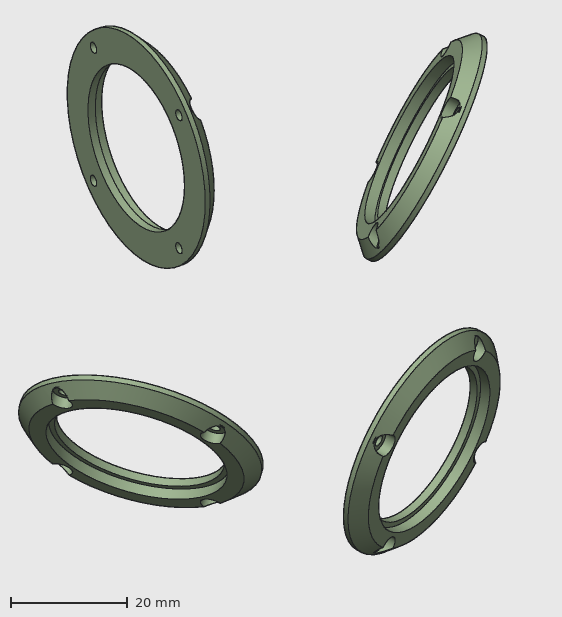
import cadquery as cq

outer_diameter = 43.0
thickness = 3.5
rim_thickness = 1.0
bevel_width = 2.5

bore_diameter = 30.0
recess_diameter = 32.0
floor_thickness = 1.5

screw_spacing = 26.57
screw_hole_diameter = 1.98
counterbore_diameter = 4.0

front_y = -thickness / 2
back_y = front_y + thickness
outer_radius = outer_diameter / 2
bore_radius = bore_diameter / 2
recess_radius = recess_diameter / 2


def ring_body():
    """Bevelled ring with a stepped bore, revolved about the Y axis."""
    profile = (
        cq.Workplane("XY")
        .moveTo(bore_radius, front_y)
        .lineTo(outer_radius, front_y)
        .lineTo(outer_radius, front_y + rim_thickness)
        .lineTo(outer_radius - bevel_width, back_y)
        .lineTo(recess_radius, back_y)
        .lineTo(recess_radius, front_y + floor_thickness)
        .lineTo(bore_radius, front_y + floor_thickness)
        .close()
    )
    return profile.revolve(360, (0, 0, 0), (0, 1, 0))


def screw_cylinders(diameter, start_y):
    """Four cylinders at the screw positions, from start_y to the back face."""
    return (
        cq.Workplane("XZ", origin=(0, start_y, 0))
        .rect(screw_spacing, screw_spacing, forConstruction=True)
        .vertices()
        .circle(diameter / 2)
        .extrude(start_y - back_y)
    )


screw_holes = screw_cylinders(screw_hole_diameter, front_y)
counterbores = screw_cylinders(counterbore_diameter, front_y + floor_thickness)

result = ring_body().cut(screw_holes).cut(counterbores)